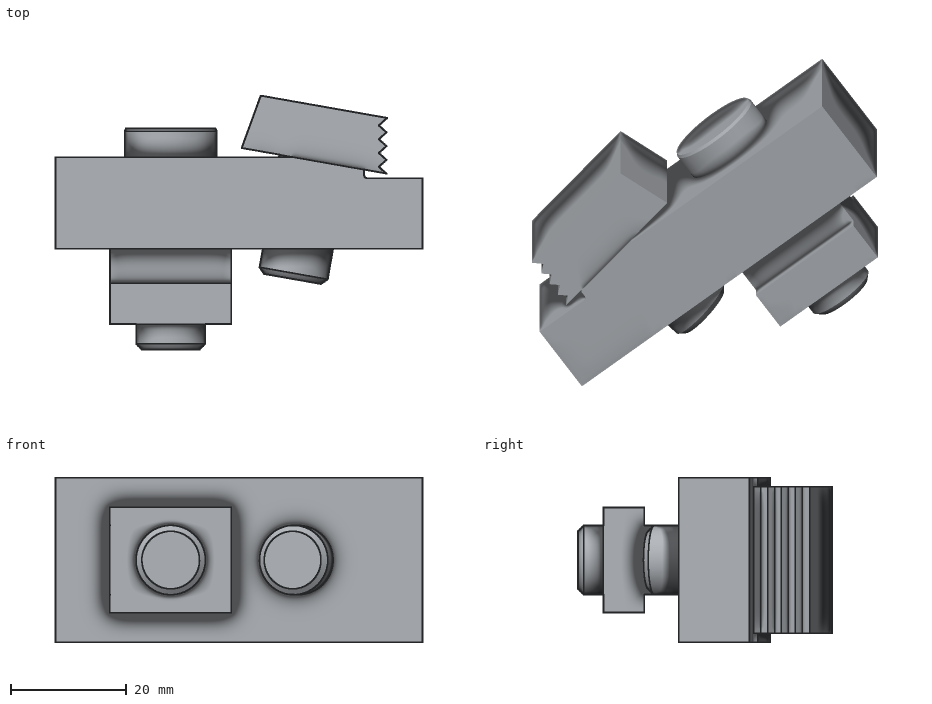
import cadquery as cq
import math

block_length = 63.5
block_depth = 15.9
block_height = 28.5
step_x = 53.4
step_y = 12.25
step_fillet = 0.5

tilt = math.radians(10)
jaw_thickness = 9.5
jaw_height = 25.4
jaw_tip_x = 57.3
jaw_tip_y = 13.0
jaw_left_x = 32.2
jaw_left_lean = math.radians(20)
tooth_count = 4
tooth_pitch = 2.38
tooth_depth = 1.35

bolt_diameter = 12.0
bolt_chamfer = 1.0
tilted_bolt_x = 41.0
tilted_bolt_y = -5.2
bolt_x = 19.95
bolt_end_y = -17.4
head_diameter = 16.0
head_thickness = 4.95
head_chamfer_axial = 0.5
head_chamfer_radial = 0.25

nut_width = 21.0
neck_length = 5.9
flange_thickness = 7.1
flange_height = 18.2


def seat_y(x):
    """Y of the inclined seat plane, which is also the underside of the jaw."""
    return jaw_tip_y + (jaw_tip_x - x) * math.tan(tilt)


def extrude_mid(points, height):
    return cq.Workplane("XY").polyline(points).close().extrude(height / 2, both=True)


def make_block():
    seat_start_x = jaw_tip_x - (block_depth - jaw_tip_y) / math.tan(tilt)
    outline = [
        (0, 0),
        (block_length, 0),
        (block_length, step_y),
        (step_x, step_y),
        (step_x, seat_y(step_x)),
        (seat_start_x, block_depth),
        (0, block_depth),
    ]
    block = extrude_mid(outline, block_height)
    step_corner = cq.selectors.NearestToPointSelector((step_x, step_y, 0))
    return block.edges("|Z").edges(step_corner).fillet(step_fillet)


def make_jaw():
    rise = jaw_thickness / math.cos(tilt)
    left_y = seat_y(jaw_left_x)
    left_rise = rise / (1 + math.tan(jaw_left_lean) * math.tan(tilt))
    top_left = (jaw_left_x + left_rise * math.tan(jaw_left_lean), left_y + left_rise)

    outline = [(jaw_left_x, left_y)]
    for tooth in range(tooth_count):
        tip_y = jaw_tip_y + tooth * tooth_pitch
        outline.append((jaw_tip_x, tip_y))
        outline.append((jaw_tip_x - tooth_depth, tip_y + tooth_pitch / 2))
    root_x, root_y = outline[-1]
    flank_slope = tooth_pitch / 2 / tooth_depth
    top_at_root = seat_y(root_x) + rise
    flank_run = (top_at_root - root_y) / (flank_slope + math.tan(tilt))
    outline.append((root_x + flank_run, root_y + flank_run * flank_slope))
    outline.append(top_left)
    return extrude_mid(outline, jaw_height)


def make_bolt(end_x, end_y, length, angle):
    """Shank with a chamfered free end, running towards +Y turned by angle towards +X."""
    axis = (math.sin(angle), math.cos(angle), 0)
    plane = cq.Plane(origin=(end_x, end_y, 0), xDir=(0, 0, 1), normal=axis)
    shank = cq.Workplane(plane).circle(bolt_diameter / 2).extrude(length)
    return shank.faces(cq.selectors.DirectionMinMaxSelector(cq.Vector(axis), False)).chamfer(bolt_chamfer)


def make_head():
    plane = cq.Plane(origin=(bolt_x, block_depth, 0), xDir=(1, 0, 0), normal=(0, 1, 0))
    head = cq.Workplane(plane).circle(head_diameter / 2).extrude(head_thickness)
    return head.faces(">Y").chamfer(head_chamfer_axial, head_chamfer_radial)


def make_t_nut():
    neck = cq.Workplane("XY").box(nut_width, neck_length, bolt_diameter)
    flange = cq.Workplane("XY").box(nut_width, flange_thickness, flange_height)
    neck = neck.translate((bolt_x, -neck_length / 2, 0))
    return neck.union(flange.translate((bolt_x, -neck_length - flange_thickness / 2, 0)))


tilted_bolt_length = (block_depth + jaw_thickness / 2 - tilted_bolt_y) / math.cos(tilt)

result = (
    make_block()
    .union(make_jaw())
    .union(make_bolt(tilted_bolt_x, tilted_bolt_y, tilted_bolt_length, tilt))
    .union(make_t_nut())
    .union(make_bolt(bolt_x, bolt_end_y, block_depth - bolt_end_y, 0))
    .union(make_head())
)